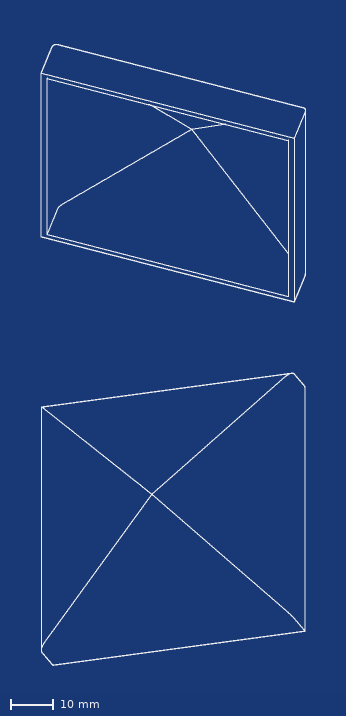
import cadquery as cq
import math

side = 63.0
height = 20.0
wall = 1.5
skirt_depth = 8.1
eave_radius = 2.5

half_side = side / 2

eave_center = half_side - eave_radius
apex_rise = height - skirt_depth
center_to_apex = math.hypot(eave_center, apex_rise)
roof_angle = math.atan2(apex_rise, eave_center) - math.asin(eave_radius / center_to_apex)


def gable_solid(inset):
    """Prism along Z with the cap's cross-section, moved inward by inset."""
    radius = eave_radius - inset
    half_width = half_side - inset
    apex_y = height - inset / math.cos(roof_angle)

    roof_normal = math.pi / 2 - roof_angle
    arc_end_x = eave_center + radius * math.cos(roof_normal)
    arc_end_y = skirt_depth + radius * math.sin(roof_normal)
    arc_mid_x = eave_center + radius * math.cos(roof_normal / 2)
    arc_mid_y = skirt_depth + radius * math.sin(roof_normal / 2)

    return (
        cq.Workplane("XY")
        .moveTo(-half_width, 0)
        .lineTo(half_width, 0)
        .lineTo(half_width, skirt_depth)
        .threePointArc((arc_mid_x, arc_mid_y), (arc_end_x, arc_end_y))
        .lineTo(0, apex_y)
        .lineTo(-arc_end_x, arc_end_y)
        .threePointArc((-arc_mid_x, arc_mid_y), (-half_width, skirt_depth))
        .close()
        .extrude(half_width, both=True)
    )


def pyramid_cap(inset):
    """Solid four-sided cap: the common part of two gables at right angles."""
    gable = gable_solid(inset)
    crossed_gable = gable.rotate((0, 0, 0), (0, 1, 0), 90)
    return gable.intersect(crossed_gable)


outer_cap = pyramid_cap(0)
cavity = pyramid_cap(wall)

result = outer_cap.cut(cavity)